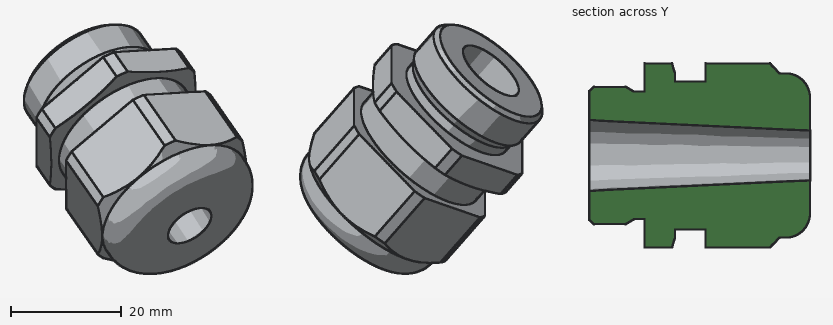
import cadquery as cq
import math

total_length = 40.0

thread_radius = 12.5
undercut_radius = 11.6
thread_chamfer = 0.85
thread_end_x = 6.6
undercut_start_x = 8.1

across_flats = 30.0
corner_radius = 16.7
corner_turn = 30.0

flange_start_x = 10.0
flange_chamfer_x = 15.0
flange_end_x = 15.6
flange_end_radius = 14.8

collar_radius = 13.45

nut_start_x = 21.0
nut_chamfer_x = 32.75
nut_end_x = 34.4
dome_radius = 14.95
dome_fillet = 4.5

bore_entry_radius = 6.4
bore_exit_radius = 4.5


def revolve_about_x(profile):
    """Turn a closed (x, radius) profile about the X axis."""
    return profile.close().revolve(360, (0, 0, 0), (1, 0, 0))


def hexagon_section(start_x, chamfer_x, end_x, end_radius):
    """Hexagonal prism with rounded corners and a conical chamfer on its +X end."""
    hexagon_diameter = across_flats / math.cos(math.radians(corner_turn))
    prism = (
        cq.Workplane("YZ", origin=(start_x, 0, 0))
        .polygon(6, hexagon_diameter)
        .extrude(end_x - start_x)
        .rotate((0, 0, 0), (1, 0, 0), corner_turn)
    )
    envelope = revolve_about_x(
        cq.Workplane("XY")
        .moveTo(start_x, 0)
        .lineTo(start_x, corner_radius)
        .lineTo(chamfer_x, corner_radius)
        .lineTo(end_x, end_radius)
        .lineTo(end_x, 0)
    )
    return prism.intersect(envelope)


def turned_core():
    """Spigot, undercut, collar and dome as one turned body."""
    dome_start_x = total_length - dome_fillet
    dome_face_radius = dome_radius - dome_fillet
    arc_offset = dome_fillet * math.sin(math.pi / 4)
    return revolve_about_x(
        cq.Workplane("XY")
        .moveTo(0, 0)
        .lineTo(0, thread_radius - thread_chamfer)
        .lineTo(thread_chamfer, thread_radius)
        .lineTo(thread_end_x, thread_radius)
        .lineTo(undercut_start_x, undercut_radius)
        .lineTo(flange_start_x, undercut_radius)
        .lineTo(flange_start_x, collar_radius)
        .lineTo(nut_end_x, collar_radius)
        .lineTo(nut_end_x, dome_radius)
        .lineTo(dome_start_x, dome_radius)
        .threePointArc(
            (dome_start_x + arc_offset, dome_face_radius + arc_offset),
            (total_length, dome_face_radius),
        )
        .lineTo(total_length, 0)
    )


def cable_bore():
    """Cone running the full length, narrowing toward the dome."""
    return revolve_about_x(
        cq.Workplane("XY")
        .moveTo(0, 0)
        .lineTo(0, bore_entry_radius)
        .lineTo(total_length, bore_exit_radius)
        .lineTo(total_length, 0)
    )


flange = hexagon_section(flange_start_x, flange_chamfer_x, flange_end_x, flange_end_radius)
cap_nut = hexagon_section(nut_start_x, nut_chamfer_x, nut_end_x, dome_radius)

result = turned_core().union(flange).union(cap_nut).cut(cable_bore())